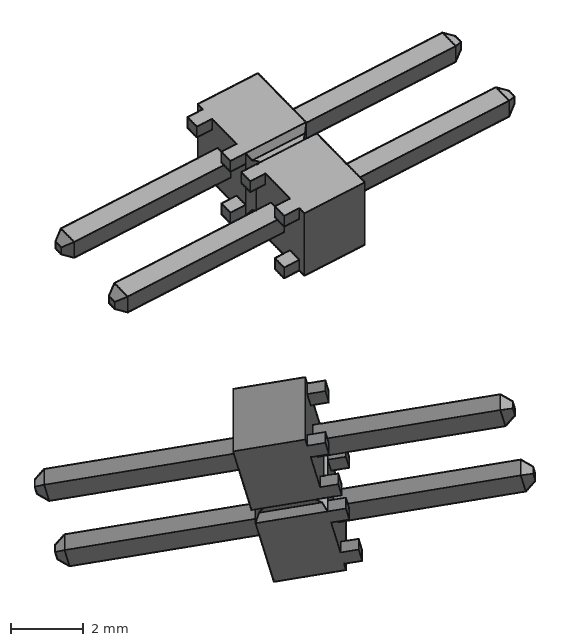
import cadquery as cq


CELL_COUNT = 2
ROW_LENGTH = 5.07
CELL_PITCH = ROW_LENGTH / CELL_COUNT
CELL_HEIGHT = 2.49
CELL_FRONT = -1.15
CELL_BACK = 0.89
CELL_TOP = CELL_HEIGHT / 2

FOOT_INSET = 0.24
FOOT_WIDTH = 0.45
FOOT_HEIGHT = 0.43
FOOT_LENGTH = 0.51

NECK_HALF_WIDTH = 0.25
NOTCH_DEPTH = NECK_HALF_WIDTH
GROOVE_DEPTH = NECK_HALF_WIDTH
GROOVE_FLOOR_HALF_WIDTH = NECK_HALF_WIDTH / 2

PIN_LENGTH = 13.46
PIN_WIDTH = 0.63
TIP_LENGTH = 0.31
TIP_WIDTH = 0.28


def make_box(x_range, y_range, z_range):
    """Box spanning the given (low, high) ranges."""
    lows, highs = zip(x_range, y_range, z_range)
    sizes = [high - low for low, high in zip(lows, highs)]
    return cq.Workplane("XY").box(*sizes, centered=False).translate(lows)


def make_block(left, right):
    """Cell block between two side faces, with feet that stay inside those faces."""
    block = make_box((left, right), (CELL_FRONT, CELL_BACK), (-CELL_TOP, CELL_TOP))
    foot_outer = CELL_PITCH / 2 - FOOT_INSET
    foot_inner = foot_outer - FOOT_WIDTH
    foot_columns = (
        (max(-foot_outer, left), -foot_inner),
        (foot_inner, min(foot_outer, right)),
    )
    foot_rows = (
        (-CELL_TOP, FOOT_HEIGHT - CELL_TOP),
        (CELL_TOP - FOOT_HEIGHT, CELL_TOP),
    )
    for columns in foot_columns:
        for rows in foot_rows:
            block = block.union(make_box(columns, (CELL_FRONT - FOOT_LENGTH, CELL_FRONT), rows))
    return block


def make_pin():
    """Square pin along Y, centred on the origin, tapered at both ends."""
    shank_end = PIN_LENGTH / 2 - TIP_LENGTH
    pin = cq.Workplane("XZ").rect(PIN_WIDTH, PIN_WIDTH).extrude(shank_end, both=True)
    for side in (-1, 1):
        tip = (
            cq.Workplane("XZ")
            .workplane(offset=side * shank_end)
            .rect(PIN_WIDTH, PIN_WIDTH)
            .workplane(offset=side * TIP_LENGTH)
            .rect(TIP_WIDTH, TIP_WIDTH)
            .loft()
        )
        pin = pin.union(tip)
    return pin


def make_neck():
    """Neck centred on X = 0: a trapezoidal groove above and below, a V notch front and back."""
    groove_floor = CELL_TOP - GROOVE_DEPTH
    section = [
        (-NECK_HALF_WIDTH, CELL_TOP),
        (-GROOVE_FLOOR_HALF_WIDTH, groove_floor),
        (GROOVE_FLOOR_HALF_WIDTH, groove_floor),
        (NECK_HALF_WIDTH, CELL_TOP),
        (NECK_HALF_WIDTH, -CELL_TOP),
        (GROOVE_FLOOR_HALF_WIDTH, -groove_floor),
        (-GROOVE_FLOOR_HALF_WIDTH, -groove_floor),
        (-NECK_HALF_WIDTH, -CELL_TOP),
    ]
    neck = (
        cq.Workplane("XZ", origin=(0, CELL_BACK, 0))
        .polyline(section)
        .close()
        .extrude(CELL_BACK - CELL_FRONT)
    )
    for face_y, notch_bottom in (
        (CELL_FRONT, CELL_FRONT + NOTCH_DEPTH),
        (CELL_BACK, CELL_BACK - NOTCH_DEPTH),
    ):
        notch = (
            cq.Workplane("XY")
            .polyline([(-NECK_HALF_WIDTH, face_y), (0, notch_bottom), (NECK_HALF_WIDTH, face_y)])
            .close()
            .extrude(CELL_TOP, both=True)
        )
        neck = neck.cut(notch)
    return neck


def make_cell(index):
    """Block, pin and, on every cell but the last, the neck to the next cell."""
    has_neighbour_left = index > 0
    has_neighbour_right = index < CELL_COUNT - 1
    left = -CELL_PITCH / 2 + (NECK_HALF_WIDTH if has_neighbour_left else 0)
    right = CELL_PITCH / 2 - (NECK_HALF_WIDTH if has_neighbour_right else 0)
    cell = make_block(left, right).union(make_pin())
    if has_neighbour_right:
        cell = cell.union(make_neck().translate((CELL_PITCH / 2, 0, 0)))
    center_x = (index - (CELL_COUNT - 1) / 2) * CELL_PITCH
    return cell.translate((center_x, 0, 0))


cells = [make_cell(index) for index in range(CELL_COUNT)]

result = cq.Compound.makeCompound([cell.solids().val() for cell in cells])